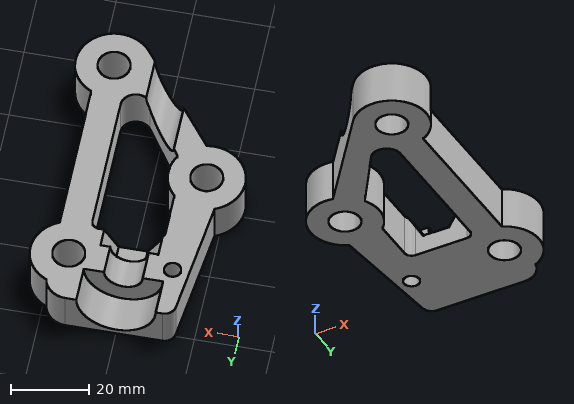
import cadquery as cq
import math

thickness = 12.0
boss_radius = 10.0
boss_hole_diameter = 8.4
total_width = 50.0
boss_x = total_width / 2 - boss_radius
boss_pitch = 60.0
lower_boss = (boss_x, 0)
upper_boss = (boss_x, boss_pitch)
left_boss = (-boss_x, boss_pitch / 2)
bosses = [lower_boss, upper_boss, left_boss]

total_length = 84
top_y = total_length - boss_radius
right_edge_x = 19.15
left_edge_top_x = -14.8
left_edge_bottom_x = -19.9
left_corner_radius = 3.0
right_corner_radius = 6.0
strut_angle = math.radians(52.5)

window_left = -8.0
window_right = 11.0
window_top = 51.0
window_slope = 1.5
window_left_bottom = 27.2
window_right_bottom = window_left_bottom - window_slope * (window_right - window_left)
window_top_radius = 2.0
window_bottom_radius = 3.95

bore_diameter = 20.6
bore_depth = 9.9
channel_diameter = 10.0
hex_corner_diameter = 15.0
hex_end_y = 56.0

pin_hole_diameter = 4.4
pin_hole_x = -12.0


def make_outer_plate():
    """Outer outline, with the strut edge tangent to the lower boss."""
    tangent_x = boss_x - boss_radius * math.sin(strut_angle)
    tangent_y = -boss_radius * math.cos(strut_angle)
    strut_rise = left_boss[1] - tangent_y
    strut_end_x = tangent_x - strut_rise / math.tan(strut_angle)
    outline = [
        (left_edge_top_x, top_y),
        (right_edge_x, top_y),
        (right_edge_x, 0),
        lower_boss,
        (tangent_x, tangent_y),
        (strut_end_x, left_boss[1]),
        (left_edge_bottom_x, left_boss[1]),
    ]
    plate = cq.Workplane("XY").polyline(outline).close().extrude(thickness)
    plate = plate.edges("|Z and >Y").edges("<X").fillet(left_corner_radius)
    return plate.edges("|Z and >Y").edges(">X").fillet(right_corner_radius)


def make_window():
    outline = [
        (window_left, window_top),
        (window_right, window_top),
        (window_right, window_right_bottom),
        (window_left, window_left_bottom),
    ]
    window = cq.Workplane("XY").polyline(outline).close().extrude(thickness)
    window = window.edges("|Z and >Y").fillet(window_top_radius)
    return window.edges("|Z and <Y").fillet(window_bottom_radius)


def axial_plane(end_y):
    """Sketch plane at end_y, centred on the bore axis; extrudes toward -Y."""
    return cq.Workplane("XZ", origin=(0, end_y, thickness))


boss_cylinders = cq.Workplane("XY").pushPoints(bosses).circle(boss_radius).extrude(thickness)
boss_holes = cq.Workplane("XY").pushPoints(bosses).circle(boss_hole_diameter / 2).extrude(thickness)
pin_hole = (
    cq.Workplane("XY").center(pin_hole_x, boss_pitch).circle(pin_hole_diameter / 2).extrude(thickness)
)

bore = axial_plane(top_y).circle(bore_diameter / 2).extrude(bore_depth)
channel = axial_plane(top_y).circle(channel_diameter / 2).extrude(total_length)
hex_length = hex_end_y - window_top + window_top_radius
hex_pocket = axial_plane(hex_end_y).polygon(6, hex_corner_diameter).extrude(hex_length)

result = make_outer_plate().cut(make_window()).union(boss_cylinders)
for recess in (boss_holes, pin_hole, bore, channel, hex_pocket):
    result = result.cut(recess)